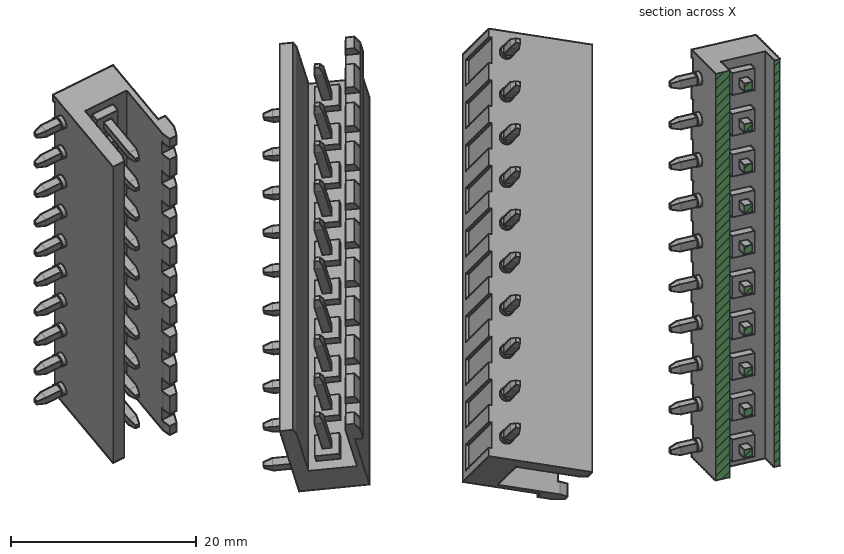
import cadquery as cq

PIN_COUNT = 10
PITCH = 5.0
LENGTH = PIN_COUNT * PITCH

DEPTH = 12.0
BACK_WALL = 3.8
HEIGHT = 7.7
LOWER_WALL = 1.7
LATCH_ARM = 0.7
LOWER_LEAD_LENGTH = 0.9
LOWER_LEAD_DROP = 0.25

NOSE_START = 9.0
NOSE_TOP = 8.6
NOSE_OUTER_LEAD_LENGTH = 1.2
NOSE_OUTER_LEAD_DROP = 0.45
NOSE_INNER_LEAD_LENGTH = 1.0
NOSE_INNER_LEAD_RISE = 0.25
NOTCH_WIDTH = 2.0
NOTCH_DEPTH = 1.2

RECESS_WIDTH = 3.0
RECESS_DEPTH = 0.35
RECESS_TOP = 6.8

PIN_SIZE = 1.0
TIP_SIZE = 0.5
TIP_LENGTH = 1.0
CONTACT_Y = 3.9
CONTACT_END = 10.8
FLANGE_SIZE = 2.7
FLANGE_THICKNESS = 1.0
SOLDER_X = 2.0
SOLDER_LENGTH = 3.5
COLLAR_DIAMETER = 1.5
COLLAR_THICKNESS = 0.5


def make_housing():
    """U-shaped profile with the latch nose, extruded along the pin row."""
    latch_inside = HEIGHT - LATCH_ARM
    outline = [
        (0, 0),
        (DEPTH, 0),
        (DEPTH, LOWER_WALL - LOWER_LEAD_DROP),
        (DEPTH - LOWER_LEAD_LENGTH, LOWER_WALL),
        (BACK_WALL, LOWER_WALL),
        (BACK_WALL, latch_inside),
        (DEPTH - NOSE_INNER_LEAD_LENGTH, latch_inside),
        (DEPTH, latch_inside + NOSE_INNER_LEAD_RISE),
        (DEPTH, NOSE_TOP - NOSE_OUTER_LEAD_DROP),
        (DEPTH - NOSE_OUTER_LEAD_LENGTH, NOSE_TOP),
        (NOSE_START, NOSE_TOP),
        (NOSE_START, HEIGHT),
        (0, HEIGHT),
    ]
    return cq.Workplane("XY").polyline(outline).close().extrude(LENGTH)


def make_box(x_range, y_range, z_center, z_width):
    """Box between two X and two Y limits, centred on z_center."""
    x_size = x_range[1] - x_range[0]
    y_size = y_range[1] - y_range[0]
    corner = (x_range[0], y_range[0], z_center - z_width / 2)
    return cq.Workplane("XY").box(x_size, y_size, z_width, centered=False).translate(corner)


def make_pin(plane, length):
    """Square pin along the plane normal, with a tapered tip."""
    shank = cq.Workplane(plane).rect(PIN_SIZE, PIN_SIZE).extrude(length - TIP_LENGTH)
    tip = (
        shank.faces(cq.selectors.DirectionMinMaxSelector(plane.zDir, True))
        .workplane()
        .rect(PIN_SIZE, PIN_SIZE)
        .workplane(offset=TIP_LENGTH)
        .rect(TIP_SIZE, TIP_SIZE)
        .loft(combine=False)
    )
    return shank.union(tip)


def make_contact_pin(z):
    """Pin pointing out of the mouth, standing on a square flange."""
    plane = cq.Plane(origin=(BACK_WALL, CONTACT_Y, z), xDir=(0, 1, 0), normal=(1, 0, 0))
    flange = cq.Workplane(plane).rect(FLANGE_SIZE, FLANGE_SIZE).extrude(FLANGE_THICKNESS)
    return make_pin(plane, CONTACT_END - BACK_WALL).union(flange)


def make_solder_pin(z):
    """Pin pointing down to the board, with a round collar at its root."""
    plane = cq.Plane(origin=(SOLDER_X, 0, z), xDir=(1, 0, 0), normal=(0, -1, 0))
    collar = cq.Workplane(plane).circle(COLLAR_DIAMETER / 2).extrude(COLLAR_THICKNESS)
    return make_pin(plane, SOLDER_LENGTH).union(collar)


result = make_housing()
for index in range(PIN_COUNT):
    pin_z = (index + 0.5) * PITCH
    recess = make_box((0, RECESS_DEPTH), (0, RECESS_TOP), pin_z, RECESS_WIDTH)
    notch = make_box((DEPTH - NOTCH_DEPTH, DEPTH), (HEIGHT - LATCH_ARM, NOSE_TOP), pin_z, NOTCH_WIDTH)
    result = result.cut(recess).cut(notch)
    result = result.union(make_contact_pin(pin_z)).union(make_solder_pin(pin_z))